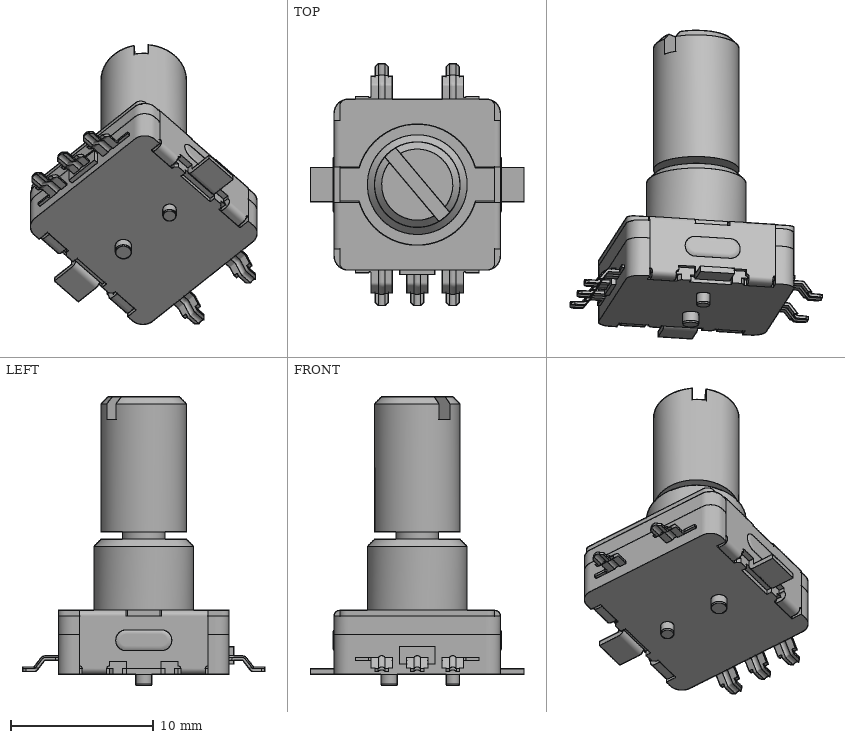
import cadquery as cq
import math

body_x = 11.7
body_y = 12.0
corner_radius = 1.0
sheet = 0.4
seam_z = 2.8
body_top = 4.5

bushing_diameter = 7.0
bushing_top = 9.5
shaft_diameter = 6.0
neck_diameter = 3.0
shaft_shoulder_z = 10.0
shaft_top = 19.5
end_chamfer = 0.5
slot_width = 1.0
slot_depth = 1.6
slot_angle = -50.0

wall_half_length = 4.5
plate_corner_radius = 0.5
cutout_diameter = 8.53
cutout_half_width = 1.24
ring_clearance = 0.02
bar_clearance = 0.08
tab_half_width = 1.22
tab_span = 15.0
notch_end = 2.42
notch_top = 0.91
relief_radius = 0.18
lip_reach = 0.4
bead_flat_length = 3.33
bead_flat_height = 0.85
bead_rise = 0.08
bead_edge_width = 0.3
bead_z = 2.4

clamp_recess_start = 2.15
clamp_recess_bevel = 0.25
tab_recess_half_width = 1.48
block_half_width = 1.24
block_bottom = 0.73
block_top = 1.95
block_depth = 0.32
peg_length = 0.8
peg_chamfer_height = 0.12
peg_chamfer_inset = 0.05
pegs_at = [(-1.97, 1.15), (2.5, 0.95)]

terminal_pitch = 2.5
terminal_width = 1.5
terminal_sheet = 0.2
terminal_span = 17.0
rib_width = 0.45
rib_height = 0.12
upper_z = 1.0
foot_z = 0.2
upper_bend_y = 6.9
upper_bend_radius = 0.08
foot_bend_y = 7.65
foot_width = 0.93
foot_chamfer = 0.22
shoulder_z = 0.45
wing_end = 4.35
wing_depth = 0.2
wing_relief_radius = 0.08

half_x = body_x / 2
half_y = body_y / 2
inner_x = half_x - sheet
plate_bottom = body_top - sheet
lip_end_x = inner_x - lip_reach
terminal_reach = terminal_span / 2


def block(x_range, y_range, z_range):
    """Axis-aligned box given by its limits on each axis."""
    sizes = [high - low for low, high in (x_range, y_range, z_range)]
    corner = (x_range[0], y_range[0], z_range[0])
    return cq.Workplane("XY").box(*sizes, centered=False).translate(corner)


def both_x_sides(shape):
    """The +X shape together with its mirror image on the -X side."""
    return shape.union(shape.mirror("YZ"))


def both_y_sides(shape):
    return shape.union(shape.mirror("XZ"))


def body_layer(z_bottom, z_top):
    """Rounded slab of the body, set back on both X sides where the cover walls lie."""
    slab = (
        cq.Workplane("XY", origin=(0, 0, z_bottom))
        .rect(body_x, body_y)
        .extrude(z_top - z_bottom)
        .edges("|Z")
        .fillet(corner_radius)
    )
    wall_space = block(
        (inner_x, half_x), (-wall_half_length, wall_half_length), (z_bottom, z_top)
    )
    return slab.cut(both_x_sides(wall_space))


def ring_and_bar(diameter, half_width):
    """Disc with a bar across it along X, as thick as the cover's top plate."""
    plane = cq.Workplane("XY", origin=(0, 0, plate_bottom))
    disc = plane.circle(diameter / 2).extrude(sheet)
    bar = plane.rect(2 * inner_x, 2 * half_width).extrude(sheet)
    return disc.union(bar)


def make_shaft():
    shaft = (
        cq.Workplane("XY", origin=(0, 0, shaft_shoulder_z))
        .circle(shaft_diameter / 2)
        .extrude(shaft_top - shaft_shoulder_z)
        .faces(">Z")
        .chamfer(end_chamfer)
    )
    neck = (
        cq.Workplane("XY", origin=(0, 0, bushing_top))
        .circle(neck_diameter / 2)
        .extrude(shaft_shoulder_z - bushing_top)
    )
    slot = (
        cq.Workplane("XY", origin=(0, 0, shaft_top - slot_depth))
        .rect(2 * shaft_diameter, slot_width)
        .extrude(slot_depth)
        .rotate((0, 0, 0), (0, 0, 1), slot_angle)
    )
    return shaft.union(neck).cut(slot)


def make_frame():
    bushing = (
        cq.Workplane("XY", origin=(0, 0, plate_bottom))
        .circle(bushing_diameter / 2)
        .extrude(bushing_top - plate_bottom)
        .faces(">Z")
        .chamfer(end_chamfer)
    )
    raised = ring_and_bar(
        cutout_diameter - 2 * ring_clearance, cutout_half_width - bar_clearance
    )
    return body_layer(seam_z, plate_bottom).union(raised).union(bushing)


def make_base():
    base = body_layer(0, seam_z)

    recess_x = (lip_end_x, inner_x)
    bevel_end = clamp_recess_start + clamp_recess_bevel
    clamp_recess = (
        cq.Workplane("XY")
        .moveTo(inner_x, clamp_recess_start)
        .lineTo(inner_x - clamp_recess_bevel, bevel_end)
        .lineTo(lip_end_x, bevel_end)
        .lineTo(lip_end_x, wall_half_length)
        .lineTo(inner_x, wall_half_length)
        .close()
        .extrude(sheet)
    )
    tab_recess = block(
        recess_x, (-tab_recess_half_width, tab_recess_half_width), (0, sheet)
    )
    base = base.cut(both_x_sides(both_y_sides(clamp_recess).union(tab_recess)))

    boss = block(
        (-block_half_width, block_half_width),
        (-half_y - block_depth, -half_y),
        (block_bottom, block_top),
    )
    base = base.union(boss)

    for peg_x, peg_diameter in pegs_at:
        peg = (
            cq.Workplane("XY", origin=(peg_x, 0, -peg_length))
            .circle(peg_diameter / 2)
            .extrude(peg_length)
            .faces("<Z")
            .chamfer(peg_chamfer_height, peg_chamfer_inset)
        )
        base = base.union(peg)
    return base


def bend_drop(radius):
    """Distance from a bend's corner to the middle of its quarter arc, along each axis."""
    return radius * (1 - math.sqrt(0.5))


def extrude_along_y(profile, y_start, y_end):
    """Extrude an XZ profile between two Y positions, the lower one first."""
    return profile.extrude(y_start - y_end).translate((0, y_start, 0))


def make_clamp():
    """Lip that bends from the wall inward under the base."""
    drop = bend_drop(sheet)
    profile = (
        cq.Workplane("XZ")
        .moveTo(lip_end_x, 0)
        .lineTo(inner_x, 0)
        .threePointArc((half_x - drop, drop), (half_x, sheet))
        .lineTo(lip_end_x, sheet)
        .close()
    )
    return extrude_along_y(
        profile, notch_end + relief_radius, wall_half_length - relief_radius
    )


def make_mounting_tab():
    """Solder tab that bends from the wall outward on the mounting plane."""
    drop = bend_drop(sheet)
    profile = (
        cq.Workplane("XZ")
        .moveTo(inner_x, sheet)
        .threePointArc((inner_x + drop, drop), (half_x, 0))
        .lineTo(tab_span / 2, 0)
        .lineTo(tab_span / 2, sheet)
        .close()
    )
    return extrude_along_y(profile, -tab_half_width, tab_half_width)


def make_bead():
    """Raised oval on the wall with a rounded edge that meets the wall at an angle."""
    edge_radius = (bead_edge_width**2 + bead_rise**2) / (2 * bead_rise)
    crown = (
        cq.Workplane("YZ", origin=(half_x + bead_rise - sheet - edge_radius, 0, bead_z))
        .slot2D(bead_flat_length + 2 * edge_radius, bead_flat_height + 2 * edge_radius)
        .extrude(sheet + edge_radius)
        .faces(">X")
        .edges()
        .fillet(edge_radius)
    )
    above_wall = block(
        (half_x, half_x + bead_rise),
        (-wall_half_length, wall_half_length),
        (0, plate_bottom),
    )
    return crown.intersect(above_wall)


def make_cover_side():
    """The +X wall with its top bend, bead, clamps and mounting tab."""
    wall_y = (-wall_half_length, wall_half_length)
    wall = block((inner_x, half_x), wall_y, (sheet, plate_bottom))

    drop = bend_drop(sheet)
    bend_profile = (
        cq.Workplane("XZ")
        .moveTo(inner_x, plate_bottom)
        .lineTo(half_x, plate_bottom)
        .threePointArc((half_x - drop, body_top - drop), (inner_x, body_top))
        .close()
    )
    top_bend = extrude_along_y(bend_profile, *wall_y)
    bend_gap = block(
        (inner_x, half_x), (-cutout_half_width, cutout_half_width), (plate_bottom, body_top)
    )

    openings = block((inner_x, half_x), (tab_half_width, notch_end), (sheet, notch_top))
    for relief_y in (notch_end, wall_half_length):
        relief = (
            cq.Workplane("YZ", origin=(inner_x, relief_y, sheet))
            .circle(relief_radius)
            .extrude(sheet)
        )
        openings = openings.union(relief)

    side = wall.cut(both_y_sides(openings)).union(top_bend.cut(bend_gap))
    side = side.union(both_y_sides(make_clamp())).union(make_mounting_tab())
    return side.union(make_bead())


def make_cover():
    plate = (
        cq.Workplane("XY", origin=(0, 0, plate_bottom))
        .rect(2 * inner_x, body_y)
        .extrude(sheet)
        .edges("|Z")
        .fillet(plate_corner_radius)
        .cut(ring_and_bar(cutout_diameter, cutout_half_width))
    )
    return plate.union(both_x_sides(make_cover_side()))


bend_run = foot_bend_y - upper_bend_y
bend_fall = (upper_z - upper_bend_radius) - (foot_z + terminal_sheet)
bend_distance = math.hypot(bend_run, bend_fall)
outer_bend_radius = upper_bend_radius + terminal_sheet
slope_angle = math.atan2(bend_fall, bend_run) + math.asin(outer_bend_radius / bend_distance)
slope_length = math.sqrt(bend_distance**2 - outer_bend_radius**2)
slope_start_y = upper_bend_y + upper_bend_radius * math.sin(slope_angle)
slope_start_z = upper_z - upper_bend_radius * (1 - math.cos(slope_angle))


def strip_section(plane, ribbed=True):
    """Cross-section of the strip, grooved underneath; the origin is mid-width, underside."""
    half_width = terminal_width / 2
    half_rib = rib_width / 2
    section = (
        cq.Workplane(plane)
        .moveTo(-half_width, 0)
        .lineTo(-half_rib, 0)
        .threePointArc((0, rib_height), (half_rib, 0))
        .lineTo(half_width, 0)
        .lineTo(half_width, terminal_sheet)
    )
    if ribbed:
        section = section.lineTo(half_rib, terminal_sheet).threePointArc(
            (0, terminal_sheet + rib_height), (-half_rib, terminal_sheet)
        )
    return section.lineTo(-half_width, terminal_sheet).close()


def strip_plane(distance, height, angle):
    """Plane across the strip, facing away from the body and tilted down by the angle."""
    normal = (0, -math.cos(angle), -math.sin(angle))
    return cq.Plane(origin=(0, -distance, height), xDir=(1, 0, 0), normal=normal)


def make_bent_strip(start):
    """Ribbed strip along -Y: upper flat, bend, slope, bend, foot."""
    turn = math.degrees(slope_angle)

    flat = strip_section(strip_plane(start, upper_z, 0)).extrude(upper_bend_y - start)
    upper_bend = strip_section(strip_plane(upper_bend_y, upper_z, 0)).revolve(
        turn, (0, -upper_bend_radius), (1, -upper_bend_radius)
    )
    slope = strip_section(strip_plane(slope_start_y, slope_start_z, slope_angle)).extrude(
        slope_length
    )
    lower_bend = strip_section(strip_plane(foot_bend_y, foot_z, 0), ribbed=False).revolve(
        turn, (0, terminal_sheet), (1, terminal_sheet)
    )
    foot = strip_section(strip_plane(foot_bend_y, foot_z, 0)).extrude(
        terminal_reach - foot_bend_y
    )
    return flat.union(upper_bend).union(slope).union(lower_bend).union(foot)


def make_terminal(start, wing_side=0):
    """Terminal along -Y at X = 0; wing_side is -1 or +1 for a side wing, 0 for none."""
    half_width = terminal_width / 2
    half_foot = foot_width / 2
    terminal = make_bent_strip(start)

    foot_outline = (
        cq.Workplane("XY")
        .moveTo(-half_foot, -start)
        .lineTo(-half_foot, -terminal_reach + foot_chamfer)
        .lineTo(-half_foot + foot_chamfer, -terminal_reach)
        .lineTo(half_foot - foot_chamfer, -terminal_reach)
        .lineTo(half_foot, -terminal_reach + foot_chamfer)
        .lineTo(half_foot, -start)
        .close()
        .extrude(shoulder_z)
    )
    foot_zone = block(
        (-half_width, half_width), (-terminal_reach, -start), (0, shoulder_z)
    )
    terminal = terminal.cut(foot_zone.cut(foot_outline))

    if wing_side:
        wing = block(
            (half_width, wing_end - terminal_pitch),
            (-start - wing_depth, -start),
            (upper_z, upper_z + terminal_sheet),
        )
        relief = (
            cq.Workplane("XY")
            .center(half_width + wing_relief_radius, -start - wing_depth)
            .circle(wing_relief_radius)
            .extrude(body_top)
        )
        wing = wing.cut(relief)
        if wing_side < 0:
            wing = wing.mirror("YZ")
        terminal = terminal.union(wing)
    return terminal


def make_terminals():
    """Three terminals on the -Y side and two on the +Y side."""
    terminals = [make_terminal(half_y + block_depth)]
    for side in (-1, 1):
        front = make_terminal(half_y, side).translate((side * terminal_pitch, 0, 0))
        terminals.append(front)
        terminals.append(front.rotate((0, 0, 0), (0, 0, 1), 180))
    return terminals


shaft = make_shaft()
frame = make_frame()
base = make_base()
cover = make_cover()
terminals = make_terminals()

bodies = [shaft, frame, base, cover, *terminals]
result = cq.Compound.makeCompound([body.solids().val() for body in bodies])